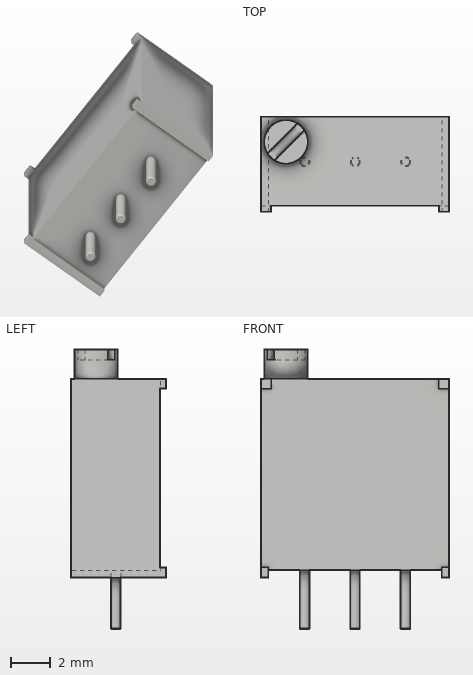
import cadquery as cq

width = 9.5
depth = 4.8
height = 10.02
total_height = 14.12
pin_row_to_back = 2.26
back_y = pin_row_to_back
front_y = back_y - depth

tab_depth = 0.3
upper_tab_width = 0.52
upper_tab_height = 0.48
lower_tab_height = 0.52
rail_width = 0.38
rail_height = 0.38
face_y = front_y + tab_depth

screw_diameter = 2.2
screw_height = 1.5
screw_inset = 1.27
slot_width = 0.5
slot_depth = 0.52
slot_angle = 45

pin_count = 3
pin_pitch = 2.54
pin_diameter = 0.5
pin_chamfer = 0.05
pin_drop = total_height - height - screw_height


def box(size_x, size_y, size_z, corner):
    """Box with its minimum X, Y, Z corner at the given point."""
    return cq.Workplane("XY").box(size_x, size_y, size_z, centered=False).translate(corner)


def left_edge(side, feature_width):
    """Minimum X of a feature flush with the left (-1) or right (+1) side."""
    return -width / 2 if side < 0 else width / 2 - feature_width


def make_housing():
    """Block with a rail under each side and a standoff tab at each front corner."""
    housing = box(width, back_y - face_y, height - rail_height, (-width / 2, face_y, rail_height))
    for side in (-1, 1):
        rail_x = left_edge(side, rail_width)
        rail = box(rail_width, back_y - face_y, rail_height, (rail_x, face_y, 0))
        lower_tab = box(rail_width, tab_depth, lower_tab_height, (rail_x, front_y, 0))
        upper_corner = (left_edge(side, upper_tab_width), front_y, height - upper_tab_height)
        upper_tab = box(upper_tab_width, tab_depth, upper_tab_height, upper_corner)
        housing = housing.union(rail.union(lower_tab)).union(upper_tab)
    return housing


def make_screw():
    """Round screw head with a diagonal driver slot across its top."""
    head = cq.Workplane("XY").circle(screw_diameter / 2).extrude(screw_height)
    slot = (
        cq.Workplane("XY", origin=(0, 0, screw_height - slot_depth))
        .rect(2 * screw_diameter, slot_width)
        .extrude(slot_depth)
        .rotate((0, 0, 0), (0, 0, 1), slot_angle)
    )
    return head.cut(slot).translate((screw_inset - width / 2, back_y - screw_inset, height))


def make_pin(x):
    """Round pin hanging from the underside, with a chamfered tip."""
    return (
        cq.Workplane("XY", origin=(x, 0, -pin_drop))
        .circle(pin_diameter / 2)
        .extrude(pin_drop + rail_height)
        .faces("<Z")
        .chamfer(pin_chamfer)
    )


result = make_housing().union(make_screw())
for index in range(pin_count):
    pin_x = (index - (pin_count - 1) / 2) * pin_pitch
    result = result.union(make_pin(pin_x))